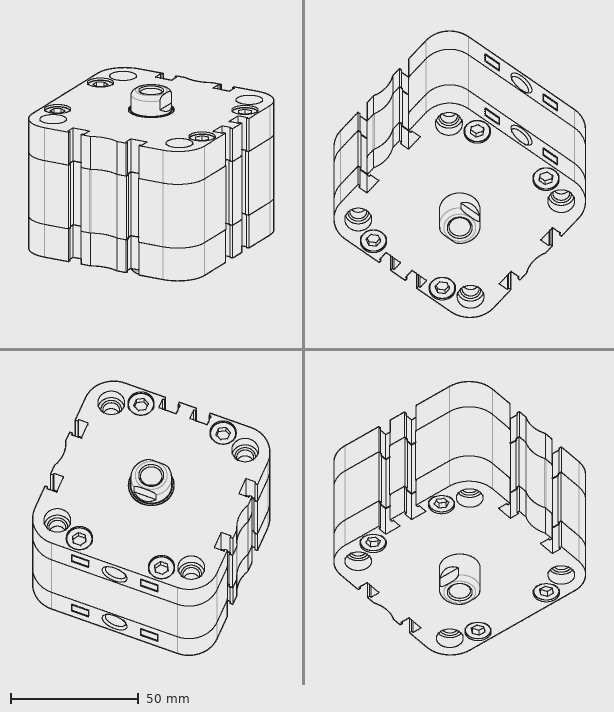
import cadquery as cq
import math

side = 77.0
corner_radius = 11.9
cap_height = 13.7
tube_height = 26.6
rod_above = 8.0
rod_below = 13.0

half_side = side / 2
half_tube = tube_height / 2
housing_top = half_tube + cap_height

slot_offset_front = 12.9
slot_offset_right = 6.55
slot_mouth = 5.4
slot_width = 6.7
slot_depth = 4.9
slot_lip = 1.5
cap_mouth_margin = 0.15
cap_cavity_margin = 0.3
groove_half_width = 5.9
groove_depth = 1.4
groove_edge_radius = 1.4

mount_offset = 28.25
mount_bore_diameter = 10.5
mount_bore_depth = 5.3
mount_thread_mouth_diameter = 8.0
mount_thread_diameter = 6.6
mount_thread_depth = 10.8

screw_x = 32.35
screw_y = 17.3
screw_recess_diameter = 10.3
screw_head_diameter = 9.8
screw_recess_depth = 0.8
socket_flats = 5.0
socket_depth = 2.7
chamfer_angle = 45.0

port_inset = 7.5
port_mouth_diameter = 10.5
port_diameter = 8.55
port_depth = 8.5

label_offset = 14.6
label_inset = 6.8
label_width = 7.15
label_height = 5.1
label_depth = 0.4

rod_diameter = 16.0
rod_tip_radius = 1.8
rod_flats = 13.0
rod_flat_length = 5.55
rod_bore_diameter = 6.6
rod_thread_diameter = 8.4
rod_thread_mouth = 9.8
rod_thread_depth = 15.4
drill_tip_half_angle = 60.0

ring_diameter = 17.7
ring_top_diameter = 16.55
ring_seat_mouth = 18.0
ring_height = 3.1
ring_taper_height = 0.7


def countersunk_hole(mouth, diameter, depth, cone_depth=None):
    """Cutter going down from Z = 0: a cone, of 45 degrees unless its depth is given, then a straight hole."""
    if cone_depth is None:
        cone_depth = (mouth - diameter) / 2
    return (
        cq.Workplane("XZ")
        .moveTo(0, 0)
        .lineTo(mouth / 2, 0)
        .lineTo(diameter / 2, -cone_depth)
        .lineTo(diameter / 2, -depth)
        .lineTo(0, -depth)
        .close()
        .revolve(360, (0, 0, 0), (0, 1, 0))
    )


def slot_cutter(offset, height, mouth_margin, cavity_margin):
    """T-slot along Z in the +Y side, centred at X = offset."""
    mouth = slot_mouth + 2 * mouth_margin
    width = slot_width + 2 * cavity_margin
    lip = slot_lip - cavity_margin
    floor = slot_depth + cavity_margin
    neck = cq.Workplane("XY").box(mouth, 2 * floor, height).translate((offset, half_side, 0))
    cavity_y = half_side - (lip + floor) / 2
    cavity = cq.Workplane("XY").box(width, floor - lip, height).translate((offset, cavity_y, 0))
    return neck.union(cavity)


def groove_cutter(height):
    """Shallow round groove along Z in the middle of the +Y side."""
    radius = (groove_half_width**2 + groove_depth**2) / (2 * groove_depth)
    axis_y = half_side - groove_depth + radius
    return cq.Workplane("XY").circle(radius).extrude(height).translate((0, axis_y, -height / 2))


def profile_block(height, mouth_margin=0.0, cavity_margin=0.0, groove_rounding=0.0):
    """Rounded square block, centred on the origin, with the slots and grooves along its sides."""
    block = cq.Workplane("XY").box(side, side, height).edges("|Z").fillet(corner_radius)
    for turn in (0, 180):
        block = block.cut(groove_cutter(height).rotate((0, 0, 0), (0, 0, 1), turn))
    if groove_rounding:
        for x in (-groove_half_width, groove_half_width):
            for y in (-half_side, half_side):
                groove_edge = cq.selectors.NearestToPointSelector((x, y, 0))
                block = block.edges(groove_edge).fillet(groove_rounding)
    slot_places = (
        (0, slot_offset_front),
        (180, slot_offset_front),
        (-90, slot_offset_right),
    )
    for turn, offset in slot_places:
        for x in (-offset, offset):
            cutter = slot_cutter(x, height, mouth_margin, cavity_margin)
            block = block.cut(cutter.rotate((0, 0, 0), (0, 0, 1), turn))
    return block


def cut_mounting_holes(cap):
    """Four counterbored, threaded holes near the corners."""
    length = mount_thread_depth - mount_bore_depth
    thread = countersunk_hole(mount_thread_mouth_diameter, mount_thread_diameter, length)
    bore = cq.Workplane("XY").circle(mount_bore_diameter / 2).extrude(-mount_bore_depth)
    cutter = bore.union(thread.translate((0, 0, -mount_bore_depth)))
    for x in (-mount_offset, mount_offset):
        for y in (-mount_offset, mount_offset):
            cap = cap.cut(cutter.translate((x, y, housing_top)))
    return cap


def cut_screw_heads(cap):
    """Sunk screw heads with hexagon sockets; the sockets on the +X side are turned by 30 degrees."""
    rim_width = (screw_recess_diameter - screw_head_diameter) / 2
    recess_bottom = screw_recess_depth + rim_width
    head = cq.Workplane("XY").circle(screw_recess_diameter / 2).extrude(rim_width, taper=chamfer_angle)
    recess = cq.Workplane("XY").circle(screw_recess_diameter / 2).extrude(-recess_bottom)
    recess = recess.cut(head.translate((0, 0, -recess_bottom)))
    socket = cq.Workplane("XY").polygon(6, socket_flats / math.cos(math.pi / 6))
    socket = socket.extrude(-(screw_recess_depth + socket_depth))
    for x, turn in ((-screw_x, 30), (screw_x, 0)):
        cutter = recess.union(socket.rotate((0, 0, 0), (0, 0, 1), turn))
        for y in (-screw_y, screw_y):
            cap = cap.cut(cutter.translate((x, y, housing_top)))
    return cap


def cut_port(cap):
    port = countersunk_hole(port_mouth_diameter, port_diameter, port_depth)
    port = port.rotate((0, 0, 0), (0, 1, 0), -90)
    return cap.cut(port.translate((-half_side, 0, housing_top - port_inset)))


def cut_label_fields(cap):
    field = cq.Workplane("XY").box(2 * label_depth, label_width, label_height)
    for y in (-label_offset, label_offset):
        cap = cap.cut(field.translate((-half_side, y, housing_top - label_inset)))
    return cap


def make_cap():
    """End cap, in the place of the top one, with a plain bore for the rod."""
    cap = profile_block(cap_height, cap_mouth_margin, cap_cavity_margin)
    cap = cap.translate((0, 0, half_tube + cap_height / 2))
    cap = cut_mounting_holes(cap)
    cap = cut_screw_heads(cap)
    cap = cut_port(cap)
    cap = cut_label_fields(cap)
    bore = cq.Workplane("XY").circle(rod_diameter / 2).extrude(housing_top)
    return cap.cut(bore)


def make_top_cap():
    seat = countersunk_hole(ring_seat_mouth, ring_diameter, ring_height)
    return make_cap().cut(seat.translate((0, 0, housing_top)))


def make_bottom_cap():
    return make_cap().mirror("XY")


def make_tube():
    tube = profile_block(tube_height, groove_rounding=groove_edge_radius)
    bore = cq.Workplane("XY").circle(rod_diameter / 2).extrude(tube_height)
    return tube.cut(bore.translate((0, 0, -half_tube)))


def make_wiper_ring():
    """Ring around the rod in the top cap, flush with the cap face and tapered at its outer top edge."""
    inner = rod_diameter / 2
    outer = ring_diameter / 2
    ring = (
        cq.Workplane("XZ")
        .moveTo(inner, 0)
        .lineTo(ring_top_diameter / 2, 0)
        .lineTo(outer, -ring_taper_height)
        .lineTo(outer, -ring_height)
        .lineTo(inner, -ring_height)
        .close()
        .revolve(360, (0, 0, 0), (0, 1, 0))
    )
    return ring.translate((0, 0, housing_top))


def flat_cutter(tip_z):
    """Cutter for the wrench flat on the +X side of the rod's upper end, running out at 45 degrees."""
    flat_x = rod_flats / 2
    end_z = tip_z - rod_flat_length
    reach = rod_diameter - flat_x
    return (
        cq.Workplane("XZ")
        .moveTo(flat_x, tip_z)
        .lineTo(flat_x, end_z)
        .lineTo(flat_x + reach, end_z - reach)
        .lineTo(flat_x + reach, tip_z)
        .close()
        .extrude(rod_diameter, both=True)
    )


def make_rod():
    length = rod_above + 2 * housing_top + rod_below
    tip_z = length / 2
    rod = cq.Workplane("XY").circle(rod_diameter / 2).extrude(length).translate((0, 0, -tip_z))
    rod = rod.faces("<Z or >Z").edges().fillet(rod_tip_radius)
    rod = rod.cut(cq.Workplane("XY").circle(rod_bore_diameter / 2).extrude(tip_z, both=True))
    thread = countersunk_hole(rod_thread_mouth, rod_thread_diameter, rod_thread_depth)
    drill_tip_width = (rod_thread_diameter - rod_bore_diameter) / 2
    drill_tip_depth = drill_tip_width / math.tan(math.radians(drill_tip_half_angle))
    drill_tip = countersunk_hole(rod_thread_diameter, rod_bore_diameter, 2 * drill_tip_depth, drill_tip_depth)
    thread = thread.union(drill_tip.translate((0, 0, -rod_thread_depth)))
    end_cutter = thread.translate((0, 0, tip_z))
    for turn in (0, 180):
        end_cutter = end_cutter.union(flat_cutter(tip_z).rotate((0, 0, 0), (0, 0, 1), turn))
    rod = rod.cut(end_cutter).cut(end_cutter.mirror("XY"))
    return rod.translate((0, 0, (rod_above - rod_below) / 2))


top_cap = make_top_cap()
tube = make_tube()
bottom_cap = make_bottom_cap()
rod = make_rod()
wiper_ring = make_wiper_ring()

bodies = (top_cap, tube, bottom_cap, rod, wiper_ring)
result = cq.Compound.makeCompound([body.solids().val() for body in bodies])